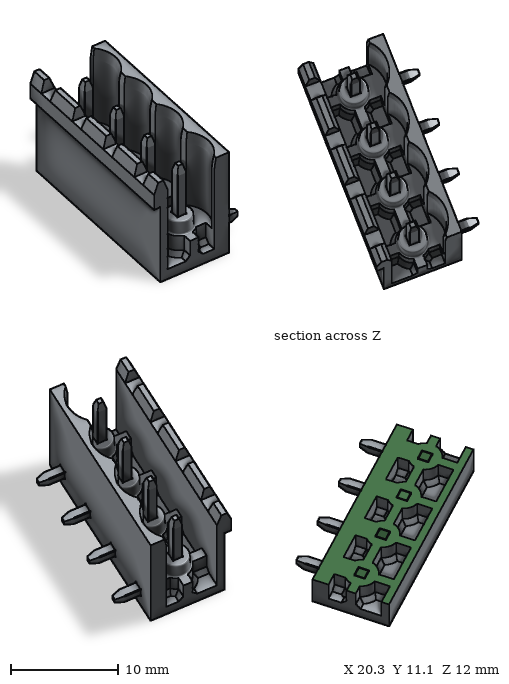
import cadquery as cq
import math


pin_count = 4
pitch = 5.08
length = pin_count * pitch
pin_places = [(i - (pin_count - 1) / 2) * pitch for i in range(pin_count)]

height = 12.0
floor_top = 1.2
back_outer = 3.95
back_inner = 2.28
front_inner = -3.05
front_outer = -3.86
lip_outer = -4.57
lip_bottom = 8.96

back_taper_start = height - 1.2
back_taper_depth = 0.18
lip_taper_start = height - 1.25
lip_taper_depth = 0.47

scallop_radius = 2.93
scallop_deepest = 3.17
scallop_center = scallop_deepest - scallop_radius

notch_floor_width = 1.42
notch_top_width = 1.83

ridge_top = 3.41
ridge_width = 0.98
back_rib_width = 2.28
boss_radius = 1.63
skirt = 0.49

collar_top = 4.94
collar_top_radius = 1.36
collar_base_radius = 1.4
collar_fillet = 0.18

pin_width = 1.0
pin_edge_chamfer = 0.08
pin_tip_length = 1.0
pin_tip_width = 0.5
pin_top = 10.8
tail_height = 2.0
tail_end = 6.52
pin_heel = tail_height - pin_width / 2

pin_clearance = 0.03
channel_width = pin_width + 2 * pin_clearance
channel_bottom = tail_height - channel_width / 2


def make_shell():
    """U-shaped section with the hooked lip, extruded along the row."""
    section = [
        (back_outer, 0),
        (back_outer, height),
        (back_inner + back_taper_depth, height),
        (back_inner, back_taper_start),
        (back_inner, floor_top),
        (front_inner, floor_top),
        (front_inner, lip_taper_start),
        (front_inner - lip_taper_depth, height),
        (lip_outer + lip_taper_depth, height),
        (lip_outer, lip_taper_start),
        (lip_outer, lip_bottom),
        (front_outer, lip_bottom),
        (front_outer, 0),
    ]
    return cq.Workplane("YZ").polyline(section).close().extrude(length / 2, both=True)


def make_scallop(x):
    """Round hollow in the back wall, flaring out over the height of the wall taper."""
    profile = [
        (0, ridge_top),
        (scallop_radius, ridge_top),
        (scallop_radius, back_taper_start),
        (scallop_radius + back_taper_depth, height),
        (0, height),
    ]
    hollow = cq.Workplane("XZ").polyline(profile).close().revolve(360, (0, 0), (0, 1))
    back_half = cq.Workplane("XY").box(
        length, back_outer - scallop_center, height, centered=(True, False, False)
    )
    return hollow.intersect(back_half).translate((x, scallop_center, 0))


def make_notch(x):
    """V-sided notch through the tapered part of the lip."""
    section = [
        (x - notch_floor_width / 2, lip_taper_start),
        (x + notch_floor_width / 2, lip_taper_start),
        (x + notch_top_width / 2, height),
        (x - notch_top_width / 2, height),
    ]
    return (
        cq.Workplane("XZ", origin=(0, front_inner, 0))
        .polyline(section)
        .close()
        .extrude(front_inner - lip_outer)
    )


def rib_section(width):
    """Upright rib outline with 45 degree skirts at the floor."""
    half = width / 2
    return [
        (-half - skirt, floor_top),
        (-half, floor_top + skirt),
        (-half, ridge_top),
        (half, ridge_top),
        (half, floor_top + skirt),
        (half + skirt, floor_top),
    ]


def make_ridge():
    """Ridge running along the row under the pins."""
    section = rib_section(ridge_width)
    return cq.Workplane("YZ").polyline(section).close().extrude(length / 2, both=True)


def make_cross_ribs(x):
    """Ribs that tie one boss to the front and back walls."""
    plane = cq.Workplane("XZ", origin=(x, 0, 0))
    front_rib = plane.polyline(rib_section(ridge_width)).close().extrude(-front_inner)
    back_rib = plane.polyline(rib_section(back_rib_width)).close().extrude(-back_inner)
    return front_rib.union(back_rib)


def make_boss(x):
    """Round boss with a floor skirt and a slightly drafted, filleted collar."""
    diagonal = collar_fillet * math.sqrt(0.5)
    base_outer = collar_base_radius + collar_fillet
    base_top = ridge_top + collar_fillet
    rim_start = collar_top - collar_fillet
    rim_inner = collar_top_radius - collar_fillet
    profile = (
        cq.Workplane("XZ")
        .moveTo(0, floor_top)
        .lineTo(boss_radius + skirt, floor_top)
        .lineTo(boss_radius, floor_top + skirt)
        .lineTo(boss_radius, ridge_top)
        .lineTo(base_outer, ridge_top)
        .threePointArc(
            (base_outer - diagonal, base_top - diagonal),
            (collar_base_radius, base_top),
        )
        .lineTo(collar_top_radius, rim_start)
        .threePointArc(
            (rim_inner + diagonal, rim_start + diagonal),
            (rim_inner, collar_top),
        )
        .lineTo(0, collar_top)
        .close()
    )
    return profile.revolve(360, (0, 0), (0, 1)).translate((x, 0, 0))


def make_pin_leg(leg_length):
    """Square bar along +Z with chamfered edges and a tapered tip."""
    tip_taper = math.degrees(math.atan2((pin_width - pin_tip_width) / 2, pin_tip_length))
    bar = (
        cq.Workplane("XY")
        .rect(pin_width, pin_width)
        .extrude(leg_length)
        .edges("|Z")
        .chamfer(pin_edge_chamfer)
    )
    pointed_bar = (
        cq.Workplane("XY")
        .rect(pin_width, pin_width)
        .extrude(leg_length - pin_tip_length)
        .faces(">Z")
        .workplane()
        .rect(pin_width, pin_width)
        .extrude(pin_tip_length, taper=tip_taper)
    )
    return bar.intersect(pointed_bar)


def make_pin(x):
    """Right-angle pin: an upright contact and a tail out through the back wall."""
    contact = make_pin_leg(pin_top - pin_heel).translate((0, 0, pin_heel))
    tail = (
        make_pin_leg(tail_end)
        .rotate((0, 0, 0), (1, 0, 0), -90)
        .translate((0, 0, tail_height))
    )
    return contact.union(tail).translate((x, 0, 0))


def make_channel(x):
    """Square channel that follows the bend of one pin."""
    upright = (
        cq.Workplane("XY", origin=(x, 0, channel_bottom))
        .rect(channel_width, channel_width)
        .extrude(collar_top - channel_bottom)
    )
    outlet = (
        cq.Workplane("XZ", origin=(x, 0, tail_height))
        .rect(channel_width, channel_width)
        .extrude(-back_outer)
    )
    return upright.union(outlet)


def make_housing():
    """Housing with all its details and a channel for every pin."""
    body = make_shell().union(make_ridge())
    for x in pin_places:
        body = body.cut(make_scallop(x)).cut(make_notch(x))
        body = body.union(make_cross_ribs(x)).union(make_boss(x))
        body = body.cut(make_channel(x))
    return body


housing = make_housing().solids()
pins = [make_pin(x).solids() for x in pin_places]

result = cq.Compound.makeCompound([housing.val(), *[pin.val() for pin in pins]])